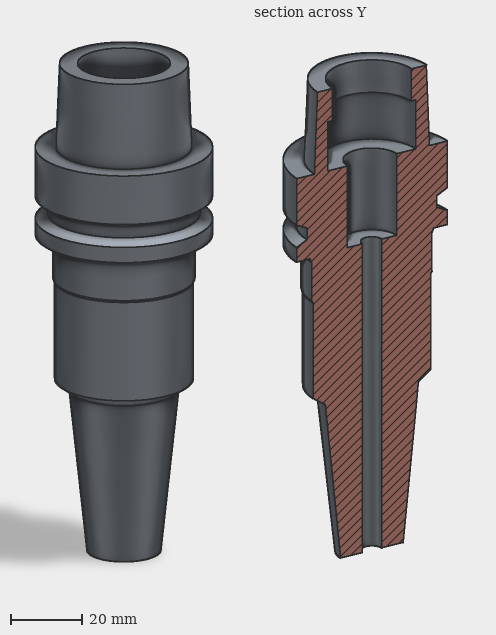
import cadquery as cq

length = 145.0

shank_top = 48.3
sleeve_bottom = 51.2
sleeve_top = 80.5
collar_bottom = 81.2
collar_top = 93.1
flange_bottom = 94.2
flange_top = 120.0

tip_radius = 10.5
shank_top_radius = 15.5
sleeve_radius = 19.6
collar_radius = 20.0
collar_flare_radius = 20.6
flange_radius = 50.0 / 2
taper_base_radius = 19.1
taper_top_radius = 18.1

groove_floor_radius = 21.6
groove_center = 102.2
groove_floor_width = 3.5
groove_mouth_width = 6.8

mouth_radius = 13.0
mouth_depth = 10.0
undercut_radius = 14.5
socket_depth = 25.0
middle_bore_radius = 8.1
middle_bore_depth = 50.0
through_hole_radius = 3.2


def revolve_profile(points):
    """Revolve a closed (radius, height) outline around the Z axis."""
    return cq.Workplane("XZ").polyline(points).close().revolve(360, (0, 0, 0), (0, 1, 0))


def make_body():
    """Solid holder: tapered shank, sleeve, collar, flange and spindle taper."""
    return revolve_profile([
        (0, 0),
        (tip_radius, 0),
        (shank_top_radius, shank_top),
        (sleeve_radius, sleeve_bottom),
        (sleeve_radius, sleeve_top),
        (collar_radius, collar_bottom),
        (collar_radius, collar_top),
        (collar_flare_radius, flange_bottom),
        (flange_radius, flange_bottom),
        (flange_radius, flange_top),
        (taper_base_radius, flange_top),
        (taper_top_radius, length),
        (0, length),
    ])


def make_groove():
    """Ring cutter for the flange groove."""
    return revolve_profile([
        (flange_radius, groove_center - groove_mouth_width / 2),
        (groove_floor_radius, groove_center - groove_floor_width / 2),
        (groove_floor_radius, groove_center + groove_floor_width / 2),
        (flange_radius, groove_center + groove_mouth_width / 2),
    ])


def make_bores():
    """Undercut socket, middle bore and through hole as one cutter."""
    socket_floor = length - socket_depth
    middle_bore_floor = length - middle_bore_depth
    mouth_bottom = length - mouth_depth
    return revolve_profile([
        (0, 0),
        (through_hole_radius, 0),
        (through_hole_radius, middle_bore_floor),
        (middle_bore_radius, middle_bore_floor),
        (middle_bore_radius, socket_floor),
        (undercut_radius, socket_floor),
        (undercut_radius, mouth_bottom),
        (mouth_radius, mouth_bottom),
        (mouth_radius, length),
        (0, length),
    ])


result = make_body().cut(make_groove()).cut(make_bores())